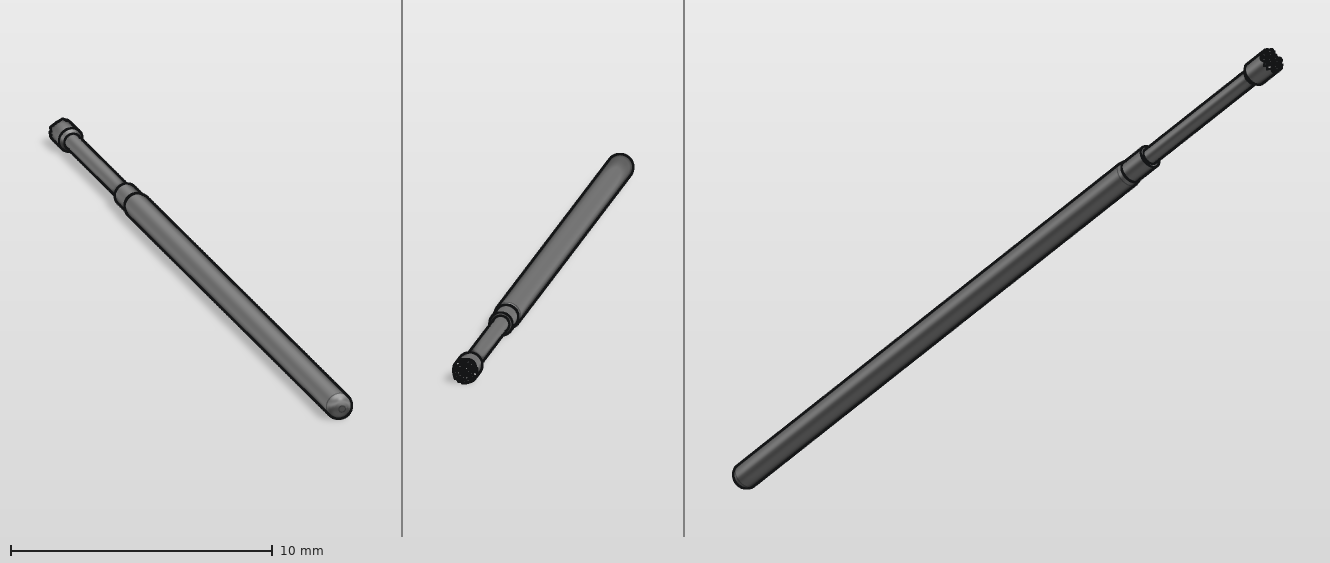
import cadquery as cq
import math


total_length = 33.02
head_length = 1.15
head_taper_length = 0.2
rod_end = 7.62
barrel_start = 8.8
barrel_lead_length = 0.2
barrel_round_radius = 0.38

head_diameter = 0.96
rod_diameter = 0.65
collar_diameter = 0.91
barrel_lead_diameter = 0.94
barrel_diameter = 1.02

groove_included_angle = 60
groove_depth = 0.178
groove_pitch = 0.315
groove_offsets = [-groove_pitch / 2, groove_pitch / 2, 3 * groove_pitch / 2]
groove_directions = [0, 120, 240]


def turned_body():
    """Head, rod, collar and barrel, revolved about the X axis."""
    head_radius = head_diameter / 2
    rod_radius = rod_diameter / 2
    collar_radius = collar_diameter / 2
    barrel_radius = barrel_diameter / 2
    end_flat_radius = barrel_radius - barrel_round_radius
    half_profile = (
        cq.Workplane("XY")
        .moveTo(0, 0)
        .lineTo(0, head_radius)
        .lineTo(head_length, head_radius)
        .lineTo(head_length + head_taper_length, rod_radius)
        .lineTo(rod_end, rod_radius)
        .lineTo(rod_end, collar_radius)
        .lineTo(barrel_start, collar_radius)
        .lineTo(barrel_start, barrel_lead_diameter / 2)
        .lineTo(barrel_start + barrel_lead_length, barrel_radius)
        .lineTo(total_length - barrel_round_radius, barrel_radius)
        .radiusArc((total_length, end_flat_radius), barrel_round_radius)
        .lineTo(total_length, 0)
        .close()
    )
    return half_profile.revolve(360, (0, 0, 0), (1, 0, 0))


def tip_groove(offset, direction):
    """V-groove cutter across the tip, at an offset from the axis, turned about X by direction."""
    half_width = groove_depth * math.tan(math.radians(groove_included_angle / 2))
    cutter = (
        cq.Workplane("XY")
        .moveTo(0, offset - half_width)
        .lineTo(groove_depth, offset)
        .lineTo(0, offset + half_width)
        .close()
        .extrude(head_diameter, both=True)
    )
    return cutter.rotate((0, 0, 0), (1, 0, 0), direction)


def serrate_tip(body):
    """Cut every groove of the three families into the tip."""
    for direction in groove_directions:
        for offset in groove_offsets:
            body = body.cut(tip_groove(offset, direction))
    return body


result = serrate_tip(turned_body())